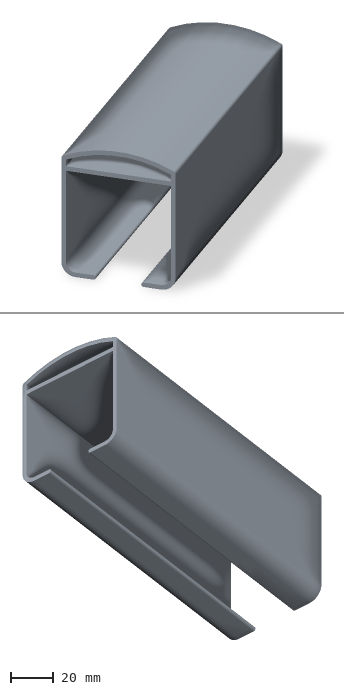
import cadquery as cq
import math

WIDTH = 56.64
LENGTH = 152.4
HEIGHT = 67.75

WALL = 2.32
CROWN_RADIUS = 65.4
SHOULDER_RADIUS = 1.52
BOTTOM_INNER_RADIUS = 4.72
SLOT_WIDTH = 22.6
WEB_DROP = 11.35

HALF_WIDTH = WIDTH / 2
INNER_HALF_WIDTH = HALF_WIDTH - WALL
BOTTOM_OUTER_RADIUS = BOTTOM_INNER_RADIUS + WALL
CROWN_CENTER_Z = HEIGHT - CROWN_RADIUS
WEB_TOP_Z = HEIGHT - WEB_DROP
WEB_BOTTOM_Z = WEB_TOP_Z - WALL


def arch_height(radius, x):
    """Z of an arc about the crown centre at distance x from the mid-plane."""
    return CROWN_CENTER_Z + math.sqrt(radius**2 - x**2)


def prism(outline):
    """Extrude a closed XZ outline along the track, centred on Y = 0."""
    return outline.close().extrude(LENGTH / 2, both=True)


def arched_outline(half_width, base_z, crown_radius):
    """Closed section with a flat base, upright sides and an arched top."""
    shoulder_z = arch_height(crown_radius, half_width)
    crown_z = CROWN_CENTER_Z + crown_radius
    return (
        cq.Workplane("XZ")
        .moveTo(-half_width, base_z)
        .lineTo(half_width, base_z)
        .lineTo(half_width, shoulder_z)
        .threePointArc((0, crown_z), (-half_width, shoulder_z))
    )


def outer_body():
    body = prism(arched_outline(HALF_WIDTH, 0, CROWN_RADIUS))
    body = body.edges("|Y and <Z").fillet(BOTTOM_OUTER_RADIUS)
    shoulders = cq.selectors.BoxSelector(
        (-WIDTH, -LENGTH, HEIGHT / 2), (WIDTH, LENGTH, HEIGHT)
    )
    return body.edges("|Y").edges(shoulders).fillet(SHOULDER_RADIUS)


def crown_cavity():
    return prism(arched_outline(INNER_HALF_WIDTH, WEB_TOP_Z, CROWN_RADIUS - WALL))


def channel_cavity():
    height = WEB_BOTTOM_Z - WALL
    return (
        cq.Workplane("XY")
        .box(2 * INNER_HALF_WIDTH, LENGTH, height)
        .edges("|Y and <Z")
        .fillet(BOTTOM_INNER_RADIUS)
        .translate((0, 0, WALL + height / 2))
    )


def slot_cutter():
    """Bottom opening, narrowed by the fully rounded noses of the two lips."""
    tip_radius = WALL / 2
    slot_half = SLOT_WIDTH / 2
    nose_half = slot_half + tip_radius
    return prism(
        cq.Workplane("XZ")
        .moveTo(-nose_half, 0)
        .lineTo(nose_half, 0)
        .threePointArc((slot_half, tip_radius), (nose_half, WALL))
        .lineTo(-nose_half, WALL)
        .threePointArc((-slot_half, tip_radius), (-nose_half, 0))
    )


result = outer_body().cut(crown_cavity()).cut(channel_cavity()).cut(slot_cutter())